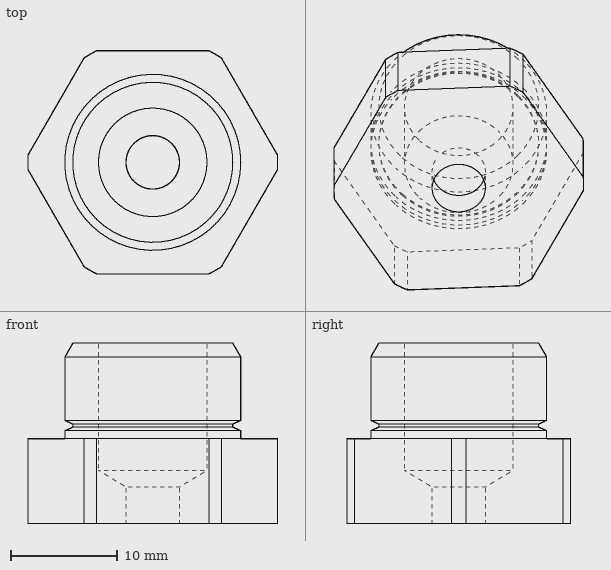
import cadquery as cq
import math

across_flats = 21.0
across_corners = 23.5
head_height = 8.0

total_height = 17.0
spigot_radius = 16.55 / 2
tip_chamfer_radial = 0.75
tip_chamfer_height = tip_chamfer_radial / math.tan(math.radians(30))

collar_height = 0.75
groove_depth = 0.75
groove_wall_height = 0.35
groove_floor_height = 0.25

bore_radius = 10.2 / 2
passage_radius = 5.0 / 2
bore_depth = 11.98
seat_angle = 118.0
seat_height = (bore_radius - passage_radius) / math.tan(math.radians(seat_angle / 2))


def make_head():
    """Hexagon with flats facing +Y and -Y and its corners turned round."""
    hexagon_diameter = across_flats / math.cos(math.radians(30))
    hexagon = cq.Workplane("XY").polygon(6, hexagon_diameter).extrude(head_height)
    corner_limit = cq.Workplane("XY").circle(across_corners / 2).extrude(head_height)
    return hexagon.intersect(corner_limit)


def make_spigot():
    """Revolved spigot with a relief groove and a chamfered tip."""
    groove_radius = spigot_radius - groove_depth
    groove_bottom = head_height + collar_height
    floor_bottom = groove_bottom + groove_wall_height
    floor_top = floor_bottom + groove_floor_height
    groove_top = floor_top + groove_wall_height
    profile = [
        (0, head_height),
        (spigot_radius, head_height),
        (spigot_radius, groove_bottom),
        (groove_radius, floor_bottom),
        (groove_radius, floor_top),
        (spigot_radius, groove_top),
        (spigot_radius, total_height - tip_chamfer_height),
        (spigot_radius - tip_chamfer_radial, total_height),
        (0, total_height),
    ]
    return cq.Workplane("XZ").polyline(profile).close().revolve(360, (0, 0), (0, 1))


def make_bore():
    """Wide bore from the top, narrowing through a cone to the through passage."""
    seat_top = total_height - bore_depth
    seat_bottom = seat_top - seat_height
    profile = [
        (0, 0),
        (passage_radius, 0),
        (passage_radius, seat_bottom),
        (bore_radius, seat_top),
        (bore_radius, total_height),
        (0, total_height),
    ]
    return cq.Workplane("XZ").polyline(profile).close().revolve(360, (0, 0), (0, 1))


result = make_head().union(make_spigot()).cut(make_bore())